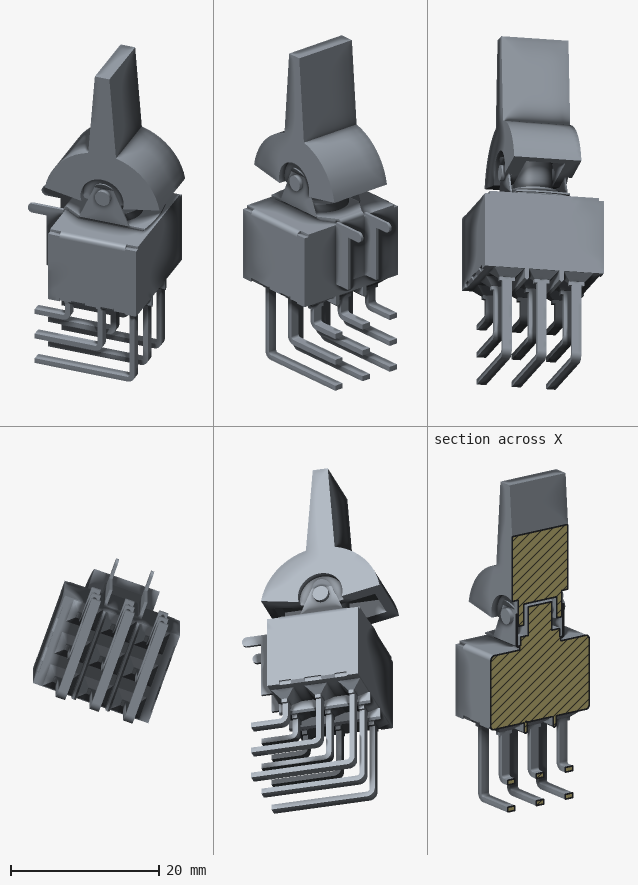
import cadquery as cq
import math


body_x = 12.77
body_y = 16.5
body_z = 10.5
cover_x = 9.5
cover_round = 0.7
corner_step_z = 0.35
hem_recess_y = 0.28
hem_recess_z = 0.55
tongue_x = 1.95
tongue_offset = 2.1
tongue_straight_z = 0.15

pin_pitch_x = 4.7
pin_pitch_y = 4.82
seal_base_x = 3.12
seal_base_y = 4.15
seal_tip_x = 0.87
seal_height = 1.0
neck_y = 2.1
neck_bottom = -1.5
rib_thickness = 0.6
rib_depth = 1.55
rib_chamfer = 0.28
pin_thickness = 0.75
pin_width = 1.3
pin_bend = 0.35
pin_end_x = -9.45
pin_lowest = -12.1
pin_level_step = 3.8

sheet = 0.25
plate_top = 11.1
plate_half_x = 6.2
plate_end_half_y = 2.0
end_bulge = 0.35
ear_outer_y = 4.0
ear_base_half_x = 3.65
ear_top_half_x = 1.4
ear_top_z = 16.2
lip_top_z = 17.2
ear_bend = 0.28
lip_lean = 0.55
boss_half_x = 5.8
boss_end_half_y = 2.3
boss_half_y = 3.45
boss_taper_start = 4.0
strip_x = 0.28
strip_bottom = 1.8
strip_bend = 0.5
arm_outer_y = 2.7
arm_thickness = 0.4
arm_bend = 0.25
arm_left_x = -8.85
hook_tip_x = -11.6
hook_thickness = 1.4

flange_d = 7.67
flange_flats_y = 6.6
flange_top = 12.3
bushing_d = 5.2
bushing_top = 16.35

rocker_y = 9.35
rocker_r = 8.45
rocker_centre_z = 13.55
rocker_rise = math.radians(10)
lever_base_half_x = 2.0
lever_tip_half_x = 1.05
lever_top = 33.85
recess_r = 3.12
recess_z = 14.9
recess_floor_y = 3.68
slot_x = 14.25
slot_y = 5.4
slot_roof = 16.8
pivot_d = 2.15
pivot_z = 15.03
pivot_length = 9.2


def block(x0, x1, y0, y1, z0, z1):
    return cq.Workplane("XY").box(x1 - x0, y1 - y0, z1 - z0, centered=False).translate((x0, y0, z0))


def extrude_along_y(sketch, y0, y1):
    """Extrude an XZ outline, drawn at y = 0, between two Y positions."""
    return sketch.extrude(y0 - y1).translate((0, y0, 0))


def tapered_plate(half_x, half_y, taper_start, tip_half_y, z0, z1):
    """Plate that tapers toward its -X end from the distance taper_start and bulges at its +X end."""
    return (
        cq.Workplane("XY").workplane(offset=z0)
        .moveTo(half_x - end_bulge, -half_y)
        .threePointArc((half_x, 0), (half_x - end_bulge, half_y))
        .lineTo(-taper_start, half_y)
        .lineTo(-half_x, tip_half_y)
        .lineTo(-half_x, -tip_half_y)
        .lineTo(-taper_start, -half_y)
        .close()
        .extrude(z1 - z0)
    )


def make_housing():
    half_x, half_y = body_x / 2, body_y / 2
    step_z = body_z - corner_step_z
    core_y = half_y - cover_round
    body = block(-half_x, half_x, -core_y, core_y, 0, body_z)
    body = body.union(block(-half_x, half_x, -half_y, half_y, 0, step_z))
    covers = block(-cover_x / 2, cover_x / 2, -half_y, half_y, hem_recess_z, body_z)
    covers = covers.faces(">Z").edges("|X").fillet(cover_round)
    body = body.cut(block(-cover_x / 2, cover_x / 2, -half_y, -core_y, hem_recess_z, body_z))
    body = body.cut(block(-cover_x / 2, cover_x / 2, core_y, half_y, hem_recess_z, body_z))
    body = body.union(covers)
    for side in (-1, 1):
        wall_y = side * half_y
        hem_y = side * (half_y - hem_recess_y)
        y0, y1 = sorted((wall_y, hem_y))
        body = body.cut(block(-cover_x / 2, cover_x / 2, y0, y1, 0, hem_recess_z))
        for end in (-1, 1):
            tongue = cq.Workplane("YZ").polyline([
                (hem_y, 0),
                (hem_y, hem_recess_z),
                (wall_y, hem_recess_z),
                (wall_y, hem_recess_z - tongue_straight_z),
            ]).close().extrude(tongue_x / 2, both=True)
            body = body.union(tongue.translate((end * tongue_offset, 0, 0)))
        rib = cq.Workplane("XY").box(body_x, rib_thickness, rib_depth)
        rib = rib.faces("<Z").edges("|X").chamfer(rib_chamfer)
        body = body.union(rib.translate((0, side * pin_pitch_y / 2, -rib_depth / 2)))
    return body


def make_terminal(x, y, level):
    """Seal, neck and pin bent toward -X; level is the underside of the pin's foot."""
    seal = (
        cq.Workplane("XY").rect(seal_base_x, seal_base_y)
        .workplane(offset=-seal_height).rect(seal_tip_x, neck_y)
        .loft().translate((x, y, 0))
    )
    half = pin_thickness / 2
    neck = block(x - half, x + half, y - neck_y / 2, y + neck_y / 2, neck_bottom, 0)
    foot_top = level + pin_thickness
    outline = (
        cq.Workplane("XZ")
        .moveTo(x + half, 0)
        .lineTo(x + half, level)
        .lineTo(pin_end_x, level)
        .lineTo(pin_end_x, foot_top)
        .lineTo(x - half, foot_top)
        .lineTo(x - half, 0)
        .close()
    )
    pin = extrude_along_y(outline, y - pin_width / 2, y + pin_width / 2)
    inner_corner = cq.selectors.NearestToPointSelector((x - half, y, foot_top))
    outer_corner = cq.selectors.NearestToPointSelector((x + half, y, level))
    pin = pin.edges("|Y").edges(inner_corner).fillet(pin_bend)
    pin = pin.edges("|Y").edges(outer_corner).fillet(pin_bend + pin_thickness)
    return seal.union(neck).union(pin)


def make_ear():
    """Upright ear on the -Y side, with a rounded lip leaning outward at its top."""
    plate_bottom = plate_top - sheet
    ear_bottom = plate_bottom + ear_bend
    outline = cq.Workplane("XZ").polyline([
        (-ear_base_half_x, ear_bottom),
        (ear_base_half_x, ear_bottom),
        (ear_top_half_x, ear_top_z),
        (-ear_top_half_x, ear_top_z),
    ]).close()
    ear = extrude_along_y(outline, -ear_outer_y, sheet - ear_outer_y)
    fold = cq.Workplane("YZ").polyline([
        (ear_bend - ear_outer_y, plate_bottom),
        (-ear_outer_y, ear_bottom),
        (sheet - ear_outer_y, ear_bottom),
        (ear_bend - ear_outer_y, plate_top),
    ]).close().extrude(ear_base_half_x, both=True)
    ear = ear.union(fold)
    lip_profile = (
        cq.Workplane("YZ")
        .moveTo(-ear_outer_y, ear_top_z)
        .lineTo(sheet - ear_outer_y, ear_top_z)
        .lineTo(sheet - ear_outer_y - lip_lean, lip_top_z)
        .lineTo(-ear_outer_y - lip_lean, lip_top_z)
        .close()
        .extrude(ear_top_half_x, both=True)
    )
    lip_outline = (
        cq.Workplane("XZ")
        .moveTo(-ear_top_half_x, ear_top_z)
        .threePointArc((0, lip_top_z), (ear_top_half_x, ear_top_z))
        .close()
        .extrude(rocker_y / 2)
    )
    return ear.union(lip_profile.intersect(lip_outline))


def make_bracket():
    plate_bottom = plate_top - sheet
    plate_half_y = ear_outer_y - ear_bend
    plate = tapered_plate(
        plate_half_x, plate_half_y, ear_base_half_x, plate_end_half_y, plate_bottom, plate_top
    )
    boss = tapered_plate(boss_half_x, boss_half_y, boss_taper_start, boss_end_half_y, body_z, plate_bottom)
    ear = make_ear()
    bracket = plate.union(boss).union(ear).union(ear.mirror("XZ"))
    wall_x = -body_x / 2
    strip_left_x = wall_x - strip_x
    bracket = bracket.union(block(strip_left_x, wall_x, -arm_outer_y, arm_outer_y, strip_bottom, body_z))
    bend = block(strip_left_x, -boss_half_x, -plate_end_half_y, plate_end_half_y, body_z, plate_top)
    bracket = bracket.union(bend.edges("|Y and >Z and <X").fillet(strip_bend))
    hook_r = hook_thickness / 2
    hook_bottom = plate_bottom - hook_thickness
    outline = (
        cq.Workplane("XZ")
        .moveTo(wall_x, strip_bottom)
        .lineTo(wall_x, plate_bottom)
        .lineTo(hook_tip_x + hook_r, plate_bottom)
        .threePointArc((hook_tip_x, plate_bottom - hook_r), (hook_tip_x + hook_r, hook_bottom))
        .lineTo(arm_left_x, hook_bottom)
        .lineTo(arm_left_x, strip_bottom)
        .close()
    )
    arm = extrude_along_y(outline, -arm_outer_y, arm_thickness - arm_outer_y)
    bracket = bracket.union(arm).union(arm.mirror("XZ"))
    inner_y = arm_outer_y - arm_thickness
    for side in (-1, 1):
        corner = cq.selectors.NearestToPointSelector((strip_left_x, side * inner_y, body_z / 2))
        bracket = bracket.edges("|Z").edges(corner).fillet(arm_bend)
    return bracket


def make_bushing():
    seat = cq.Workplane("XY").workplane(offset=plate_top)
    flange = seat.circle(flange_d / 2).extrude(flange_top - plate_top)
    flange = flange.intersect(cq.Workplane("XY").box(flange_d, flange_flats_y, 2 * flange_top))
    barrel = seat.circle(bushing_d / 2).extrude(bushing_top - plate_top)
    return flange.union(barrel)


def make_rocker():
    def rim(x):
        return (x, rocker_centre_z + math.sqrt(rocker_r ** 2 - x ** 2))

    end_x = rocker_r * math.cos(rocker_rise)
    mid_x = rocker_r * math.cos(math.radians(45))
    outline = (
        cq.Workplane("XZ")
        .moveTo(0, rocker_centre_z)
        .lineTo(*rim(end_x))
        .threePointArc(rim(mid_x), rim(lever_base_half_x))
        .lineTo(lever_tip_half_x, lever_top)
        .lineTo(-lever_tip_half_x, lever_top)
        .lineTo(*rim(-lever_base_half_x))
        .threePointArc(rim(-mid_x), rim(-end_x))
        .close()
    )
    rocker = extrude_along_y(outline, -rocker_y / 2, rocker_y / 2)
    recess = cq.Workplane("XZ").center(0, recess_z).circle(recess_r)
    recess = extrude_along_y(recess, -rocker_y / 2, -recess_floor_y)
    rocker = rocker.cut(recess).cut(recess.mirror("XZ"))
    slot = block(-slot_x / 2, slot_x / 2, -slot_y / 2, slot_y / 2, flange_top, slot_roof)
    pivot = extrude_along_y(
        cq.Workplane("XZ").center(0, pivot_z).circle(pivot_d / 2), -pivot_length / 2, pivot_length / 2
    )
    return rocker.cut(slot).union(pivot)


result = make_housing().union(make_bracket()).union(make_bushing()).union(make_rocker())
for column in (-1, 0, 1):
    foot_level = pin_lowest + (1 - column) * pin_level_step
    for row in (-1, 0, 1):
        result = result.union(make_terminal(column * pin_pitch_x, row * pin_pitch_y, foot_level))